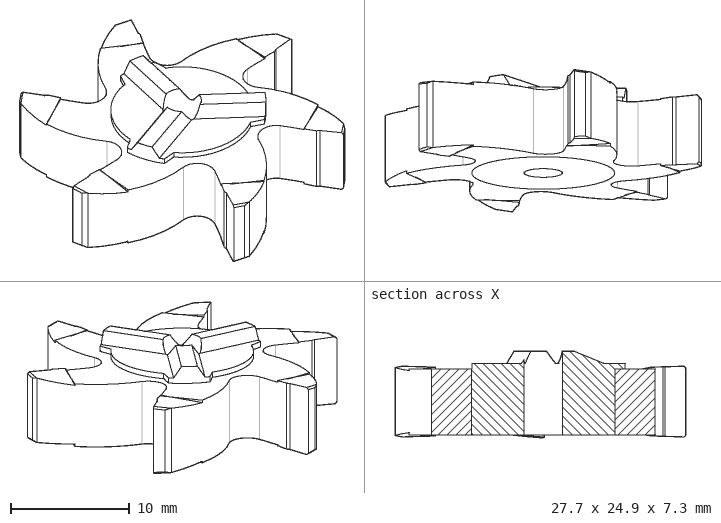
import math

import cadquery as cq

TOOTH_COUNT = 6
TOOTH_PITCH = 360 / TOOTH_COUNT
TIP_RADIUS = 13.85
HUB_HEIGHT = 5.57
BORE_DIAMETER = 3.2

PRIMARY_LAND_END = (13.77, 0.97)
SECONDARY_LAND_END = (13.55, 1.47)
BACK_HEIGHT = 4.99
BACK_MIDDLE = (9.97, 4.13)
GULLET_RADIUS = 1.55
GULLET_CENTER_X = 5.43
RAKE_FACE_MIDDLE = (9.97, 0.042)
RAKE_STEP_START = (11.55, -0.1)
RAKE_STEP_END = (11.83, 0)

SEAM_FRONT = (10.45, 0)
SEAM_BACK = (10.9, 3.6)
TIP_RISE = 0.208
SEAM_FRONT_RISE = 0.1
SEAM_BACK_DROP = 0.17
LAND_CHAMFER = 0.17
TIP_STAGGER = 0.042

COUPLING_DISC_RADIUS = 6.0
COUPLING_DISC_HEIGHT = 0.47
TAB_RADIUS = 7.04
TAB_END_WIDTH = 3.5
TAB_SIDE_ANGLE = 15
RIB_COUNT = 3
RIB_FIRST_ANGLE = 75
RIB_HEIGHT = 1.02
RIB_BASE_WIDTH = 2.65
RIB_TOP_WIDTH = 1.35


def rotated(point, angle):
    """The point turned about the Z axis by an angle in degrees."""
    cosine = math.cos(math.radians(angle))
    sine = math.sin(math.radians(angle))
    x, y = point
    return (x * cosine - y * sine, x * sine + y * cosine)


def on_circle(center, radius, angle):
    """The point of a circle at an angle in degrees."""
    dx, dy = rotated((radius, 0), angle)
    return (center[0] + dx, center[1] + dy)


def tooth_prism(height):
    """One tooth, with its share of the hub, centered on the XY plane."""
    gullet_behind = (GULLET_CENTER_X, BACK_HEIGHT + GULLET_RADIUS)
    gullet_ahead = rotated(gullet_behind, -TOOTH_PITCH)
    inward_angle = math.degrees(math.atan2(gullet_behind[1], gullet_behind[0])) + 180
    gullet_bottom_behind = on_circle(gullet_behind, GULLET_RADIUS, inward_angle)
    gullet_bottom_ahead = rotated(gullet_bottom_behind, -TOOTH_PITCH)
    back_tangent_angle = 270
    rake_tangent_angle = 90
    ahead_bottom_angle = inward_angle - TOOTH_PITCH
    rake_start = on_circle(gullet_ahead, GULLET_RADIUS, rake_tangent_angle)

    return (
        cq.Workplane("XY")
        .moveTo(0, 0)
        .lineTo(*gullet_bottom_ahead)
        .threePointArc(
            on_circle(gullet_ahead, GULLET_RADIUS, (ahead_bottom_angle + rake_tangent_angle) / 2),
            rake_start,
        )
        .threePointArc(RAKE_FACE_MIDDLE, RAKE_STEP_START)
        .lineTo(*RAKE_STEP_END)
        .lineTo(TIP_RADIUS, 0)
        .lineTo(*PRIMARY_LAND_END)
        .lineTo(*SECONDARY_LAND_END)
        .threePointArc(BACK_MIDDLE, (GULLET_CENTER_X, BACK_HEIGHT))
        .threePointArc(
            on_circle(gullet_behind, GULLET_RADIUS, (back_tangent_angle + inward_angle) / 2),
            gullet_bottom_behind,
        )
        .close()
        .extrude(height / 2, both=True)
    )


def tip_slab():
    """A slab beyond the seam with both end faces tilted, symmetric about the XY plane."""
    seam_dx = SEAM_BACK[0] - SEAM_FRONT[0]
    seam_dy = SEAM_BACK[1] - SEAM_FRONT[1]
    outward_slope = (TIP_RISE - SEAM_FRONT_RISE) / (TIP_RADIUS - SEAM_FRONT[0])
    backward_slope = (-SEAM_BACK_DROP - SEAM_FRONT_RISE - outward_slope * seam_dx) / seam_dy

    slope = math.hypot(outward_slope, backward_slope)
    rise_angle = math.degrees(math.atan2(backward_slope, outward_slope))
    reach = TIP_RADIUS
    mid_half_height = HUB_HEIGHT / 2 + SEAM_FRONT_RISE
    low_half_height = mid_half_height - slope * reach
    high_half_height = mid_half_height + slope * reach
    wedge = (
        cq.Workplane("XZ")
        .polyline(
            [
                (-reach, -low_half_height),
                (reach, -high_half_height),
                (reach, high_half_height),
                (-reach, low_half_height),
            ]
        )
        .close()
        .extrude(reach, both=True)
        .rotate((0, 0, 0), (0, 0, 1), rise_angle)
        .translate((*SEAM_FRONT, 0))
    )
    return wedge.intersect(beyond_seam())


def beyond_seam():
    """A tall block covering everything on the tip side of the seam."""
    size = 2 * TIP_RADIUS
    seam_angle = math.degrees(
        math.atan2(SEAM_BACK[1] - SEAM_FRONT[1], SEAM_BACK[0] - SEAM_FRONT[0])
    )
    return (
        cq.Workplane("XY")
        .box(size, size, size, centered=(False, True, True))
        .rotate((0, 0, 0), (0, 0, 1), seam_angle - 90)
        .translate((*SEAM_FRONT, 0))
    )


def make_tooth(tip_shift):
    """One complete tooth whose flared and chamfered tip is shifted along Z."""
    root = tooth_prism(HUB_HEIGHT).cut(beyond_seam())
    tip = tooth_prism(HUB_HEIGHT + 4 * TIP_RISE).intersect(tip_slab())
    land_middle = (
        (TIP_RADIUS + PRIMARY_LAND_END[0]) / 2,
        PRIMARY_LAND_END[1] / 2,
        0,
    )
    land = tip.faces(cq.selectors.NearestToPointSelector(land_middle))
    tip = tip.newObject(land.edges("not |Z").vals()).chamfer(LAND_CHAMFER)
    return root.union(tip.translate((0, 0, tip_shift)))


def make_wheel():
    """Cutter wheel: alternately staggered teeth around a round seat for the coupling."""
    wheel = cq.Workplane("XY")
    for index in range(TOOTH_COUNT):
        tip_shift = TIP_STAGGER if index % 2 == 0 else -TIP_STAGGER
        tooth = make_tooth(tip_shift)
        wheel = wheel.add(tooth.rotate((0, 0, 0), (0, 0, 1), index * TOOTH_PITCH))
    wheel = wheel.combine()
    seat = cq.Workplane("XY").circle(COUPLING_DISC_RADIUS).extrude(HUB_HEIGHT, both=True)
    return wheel.cut(seat)


def coupling_tab():
    """A tab that tapers outward along +X and ends flush with the tab circle."""
    end_half_width = TAB_END_WIDTH / 2
    end_x = math.sqrt(TAB_RADIUS**2 - end_half_width**2)
    root_half_width = end_half_width + end_x * math.tan(math.radians(TAB_SIDE_ANGLE))
    return (
        cq.Workplane("XY")
        .moveTo(0, -root_half_width)
        .lineTo(end_x, -end_half_width)
        .threePointArc((TAB_RADIUS, 0), (end_x, end_half_width))
        .lineTo(0, root_half_width)
        .close()
        .extrude(COUPLING_DISC_HEIGHT)
    )


def coupling_rib():
    """A trapezoidal drive rib from the axis out to the tab circle along +X."""
    rib = (
        cq.Workplane("YZ")
        .polyline(
            [
                (-RIB_BASE_WIDTH / 2, 0),
                (RIB_BASE_WIDTH / 2, 0),
                (RIB_TOP_WIDTH / 2, RIB_HEIGHT),
                (-RIB_TOP_WIDTH / 2, RIB_HEIGHT),
            ]
        )
        .close()
        .extrude(TAB_RADIUS)
    )
    envelope = cq.Workplane("XY").circle(TAB_RADIUS).extrude(RIB_HEIGHT)
    return rib.intersect(envelope).translate((0, 0, COUPLING_DISC_HEIGHT))


def make_coupling():
    """Drive coupling: a hub through the wheel, with tabs on its rim and ribs on its top."""
    coupling = (
        cq.Workplane("XY")
        .workplane(offset=-HUB_HEIGHT)
        .circle(COUPLING_DISC_RADIUS)
        .extrude(HUB_HEIGHT + COUPLING_DISC_HEIGHT)
    )
    arm = coupling_tab().union(coupling_rib())
    for index in range(RIB_COUNT):
        angle = RIB_FIRST_ANGLE + index * 360 / RIB_COUNT
        coupling = coupling.union(arm.rotate((0, 0, 0), (0, 0, 1), angle))
    bore = cq.Workplane("XY").circle(BORE_DIAMETER / 2).extrude(HUB_HEIGHT, both=True)
    return coupling.cut(bore).translate((0, 0, HUB_HEIGHT / 2))


wheel = make_wheel()
coupling = make_coupling()
result = cq.Compound.makeCompound([wheel.val(), coupling.val()])